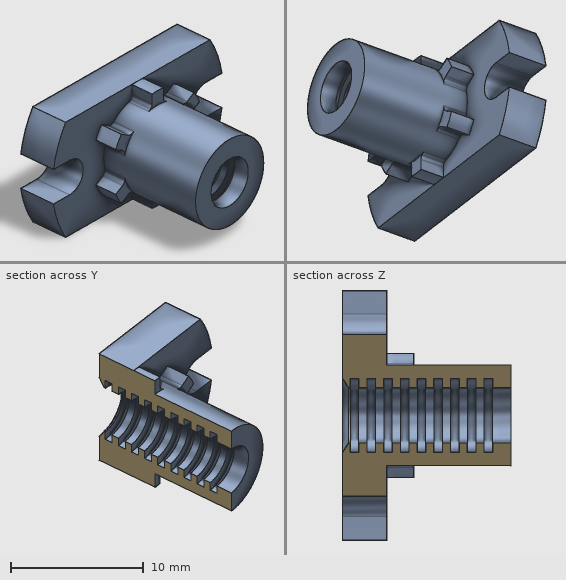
import cadquery as cq
import math

plate_length = 18.8
plate_height = 10.15
plate_thickness = 3.35
slot_width = 3.05
slot_center_offset = 7.61
end_arc_radius = math.hypot(plate_length / 2, slot_width / 2)

total_length = 12.7
sleeve_radius = 7.61 / 2
lug_count = 6
lug_width = 1.25
lug_length = 2.03
lug_fillet_radius = 0.5

bore_radius = 4.14 / 2
countersink_radius = 5.6 / 2
countersink_depth = 0.47
groove_radius = 5.55 / 2
groove_pitch = 1.26
groove_width = groove_pitch / 2
first_land_width = 0.13
cut_overlap = 0.19


def cylinder(radius, start, length):
    """Solid cylinder about the X axis."""
    return cq.Workplane("YZ").workplane(offset=start).circle(radius).extrude(length)


def make_plate():
    """Rounded-end plate with an open U-slot at each end."""
    blank = cq.Workplane("YZ").rect(2 * end_arc_radius, plate_height).extrude(plate_thickness)
    plate = blank.intersect(cylinder(end_arc_radius, 0, plate_thickness))
    slot_reach = end_arc_radius - slot_center_offset + cut_overlap
    for side in (-1, 1):
        channel = (
            cq.Workplane("YZ")
            .center(side * (slot_center_offset + slot_reach / 2), 0)
            .rect(slot_reach, slot_width)
            .extrude(plate_thickness)
        )
        slot_end = (
            cq.Workplane("YZ")
            .center(side * slot_center_offset, 0)
            .circle(slot_width / 2)
            .extrude(plate_thickness)
        )
        plate = plate.cut(channel).cut(slot_end)
    return plate


def make_lug():
    """Round-topped upright lug whose sides blend tangentially into the sleeve."""
    half_width = lug_width / 2
    top = plate_height / 2
    shoulder_z = math.sqrt(top**2 - half_width**2)
    fillet_y = half_width + lug_fillet_radius
    center_distance = sleeve_radius + lug_fillet_radius
    fillet_z = math.sqrt(center_distance**2 - fillet_y**2)
    foot_y = fillet_y * sleeve_radius / center_distance
    foot_z = fillet_z * sleeve_radius / center_distance
    middle_angle = math.pi + math.atan2(fillet_z, fillet_y) / 2
    middle_y = fillet_y + lug_fillet_radius * math.cos(middle_angle)
    middle_z = fillet_z + lug_fillet_radius * math.sin(middle_angle)
    return (
        cq.Workplane("YZ")
        .workplane(offset=plate_thickness)
        .moveTo(0, 0)
        .lineTo(foot_y, foot_z)
        .threePointArc((middle_y, middle_z), (half_width, fillet_z))
        .lineTo(half_width, shoulder_z)
        .threePointArc((0, top), (-half_width, shoulder_z))
        .lineTo(-half_width, fillet_z)
        .threePointArc((-middle_y, middle_z), (-foot_y, foot_z))
        .close()
        .extrude(lug_length)
    )


def make_countersink():
    """Wide cone at the plate face."""
    return (
        cq.Workplane("XY")
        .lineTo(0, countersink_radius)
        .lineTo(countersink_depth, bore_radius)
        .lineTo(countersink_depth, 0)
        .close()
        .revolve(360, (0, 0, 0), (1, 0, 0))
    )


result = make_plate().union(cylinder(sleeve_radius, 0, total_length))
for index in range(lug_count):
    lug = make_lug().rotate((0, 0, 0), (1, 0, 0), index * 360 / lug_count)
    result = result.union(lug)
result = result.cut(cylinder(bore_radius, 0, total_length))
result = result.cut(make_countersink())

groove_start = countersink_depth + first_land_width
groove_count = math.floor((total_length - groove_start) / groove_pitch)
for index in range(groove_count):
    start = groove_start + index * groove_pitch
    result = result.cut(cylinder(groove_radius, start, groove_width))